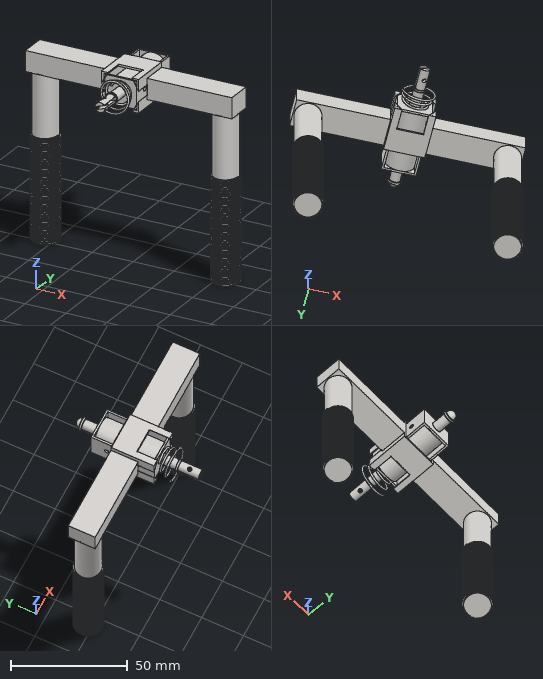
import cadquery as cq
import math


bar_width = 13.0
bar_height = 10.0
leg_spacing = 88.0
bar_length = leg_spacing + bar_width
bar_drop = 2.5
block_width = 18.2
block_length = 20.6
block_height = 16.0
block_rear = bar_width / 2
block_front = block_rear - block_length
block_top = block_height / 2
bar_top = block_top - bar_drop
bar_bottom = bar_top - bar_height

leg_radius = 6.0
overall_height = 92.7
leg_bottom = block_top - overall_height
rib_outer_radius = 6.675
rib_root_radius = leg_radius - 0.1
rib_height = 0.4
rib_pitch = 1.25
rib_turns = 40

frame_width = 15.4
frame_height = 13.3
frame_thickness = 1.0
frame_length = 30.4
frame_recess = 0.5
frame_front = block_front + frame_recess
frame_rear = frame_front + frame_length
frame_middle = (frame_front + frame_rear) / 2
screw_hole_diameter = 2.0
screw_hole_spacing = 15.2

frame_clearance = 0.35
hex_flats = 18.2
hex_depth = 9.75

coil_radius = frame_width / 2 - frame_thickness

rod_radius = 2.45
rod_front = -32.0
dome_tip = 27.4
dome_base = dome_tip - rod_radius
clip_radius = 3.1
clip_thickness = 1.1
collar_radius = 2.75
collar_front = -22.1
collar_thickness = 1.0
fork_slot_width = 1.3
fork_tilt = 20.0
cross_hole_diameter = 1.8
cross_hole_y = -27.0

wire_radius = 0.5
spring_pitch = 2.8
spring_growth = 1.0
spring_start_radius = 4.85
spring_start_angle = 150.0
spring_turns = 2.86
spring_lead_turns = 0.8


def box(x_size, y_range, z_range):
    """Box centred on X = 0 between the given Y and Z limits."""
    y_low, y_high = y_range
    z_low, z_high = z_range
    return (
        cq.Workplane("XY")
        .box(x_size, y_high - y_low, z_high - z_low, centered=(True, False, False))
        .translate((0, y_low, z_low))
    )


def rod(radius, y_low, y_high):
    """Cylinder on the Y axis between two Y positions."""
    return cq.Workplane("XZ", origin=(0, y_high, 0)).circle(radius).extrude(y_high - y_low)


def make_leg():
    """Leg centred on X = 0 with the helical rib around its lower part."""
    leg = (
        cq.Workplane("XY", origin=(0, 0, leg_bottom))
        .circle(leg_radius)
        .extrude(bar_bottom - leg_bottom)
    )
    helix = cq.Wire.makeHelix(rib_pitch, rib_pitch * rib_turns, leg_radius)
    rib = (
        cq.Workplane("XZ")
        .moveTo(rib_root_radius, 0)
        .lineTo(rib_outer_radius, 0)
        .lineTo(rib_outer_radius, rib_height)
        .lineTo(rib_root_radius, rib_height)
        .close()
        .sweep(cq.Workplane(obj=helix), isFrenet=True)
        .translate((0, 0, leg_bottom))
    )
    return leg.union(rib)


def make_handle():
    """Crossbar, centre block and both legs in one piece."""
    bar = box(bar_length, (-bar_width / 2, bar_width / 2), (bar_bottom, bar_top))
    block = box(block_width, (block_front, block_rear), (-block_top, block_top))
    body = bar.union(block)
    window = box(
        frame_width + 2 * frame_clearance,
        (frame_front, block_rear),
        (-frame_height / 2 - frame_clearance, frame_height / 2 + frame_clearance),
    )
    hex_pocket = (
        cq.Workplane("XZ", origin=(0, block_front + hex_depth, 0))
        .polygon(6, hex_flats, circumscribed=True)
        .extrude(hex_depth)
        .rotate((0, 0, 0), (0, 1, 0), 90)
        .intersect(block)
    )
    body = body.cut(window).cut(hex_pocket)
    leg = make_leg()
    for side in (-1, 1):
        body = body.union(leg.translate((side * leg_spacing / 2, 0, 0)))
    return body


def make_frame():
    """Strap around the coil, bored for the plunger, with screw holes in both sides."""
    half_height = frame_height / 2
    outer = box(frame_width, (frame_front, frame_rear), (-half_height, half_height))
    inner = box(
        frame_width - 2 * frame_thickness,
        (frame_front + frame_thickness, frame_rear - frame_thickness),
        (-half_height, half_height),
    )
    screw_holes = (
        cq.Workplane("YZ")
        .pushPoints([(frame_middle + side * screw_hole_spacing / 2, 0) for side in (-1, 1)])
        .circle(screw_hole_diameter / 2)
        .extrude(frame_width, both=True)
    )
    bore = rod(rod_radius, frame_front, frame_rear)
    return outer.cut(inner).cut(screw_holes).cut(bore)


def make_coil():
    """Winding that fills the frame from plate to plate."""
    ends = (frame_front + frame_thickness, frame_rear - frame_thickness)
    return rod(coil_radius, *ends).cut(rod(rod_radius, *ends))


def make_plunger():
    """Rod with a domed rear tip, a clip ring, a collar and a forked front end."""
    body = rod(rod_radius, rod_front, dome_base)
    body = body.union(cq.Workplane("XY", origin=(0, dome_base, 0)).sphere(rod_radius))
    body = body.union(rod(clip_radius, dome_base - clip_thickness, dome_base))
    body = body.union(rod(collar_radius, collar_front, collar_front + collar_thickness))
    slot = box(
        3 * rod_radius,
        (rod_front, collar_front),
        (-fork_slot_width / 2, fork_slot_width / 2),
    )
    cross_hole = (
        cq.Workplane("XY", origin=(0, cross_hole_y, 0))
        .circle(cross_hole_diameter / 2)
        .extrude(2 * rod_radius, both=True)
    )
    cutter = slot.union(cross_hole).rotate((0, 0, 0), (0, 1, 0), -fork_tilt)
    return body.cut(cutter)


def spring_point(t):
    """Point on the wire centre line, t from 0 at the frame to 1 at the free end."""
    turn = t * spring_turns
    angle = math.radians(spring_start_angle) - 2 * math.pi * turn
    radius = spring_start_radius + spring_growth * turn
    if turn < spring_lead_turns:
        advance = turn**2 / (2 * spring_lead_turns)
    else:
        advance = turn - spring_lead_turns / 2
    y = frame_front - wire_radius - spring_pitch * advance
    return (radius * math.cos(angle), y, radius * math.sin(angle))


def make_spring():
    """Conical spring that widens away from the frame."""
    path = cq.Workplane("XY").parametricCurve(spring_point, N=60, makeWire=True)
    start = cq.Vector(*spring_point(0))
    small_step = 0.001
    heading = cq.Vector(*spring_point(small_step)) - start
    profile = cq.Workplane(cq.Plane(origin=start, normal=heading)).circle(wire_radius)
    return profile.sweep(path, isFrenet=True)


handle = make_handle()
frame = make_frame()
coil = make_coil()
plunger = make_plunger()
spring = make_spring()

result = cq.Compound.makeCompound(
    [handle.val(), frame.val(), coil.val(), plunger.val(), spring.val()]
)